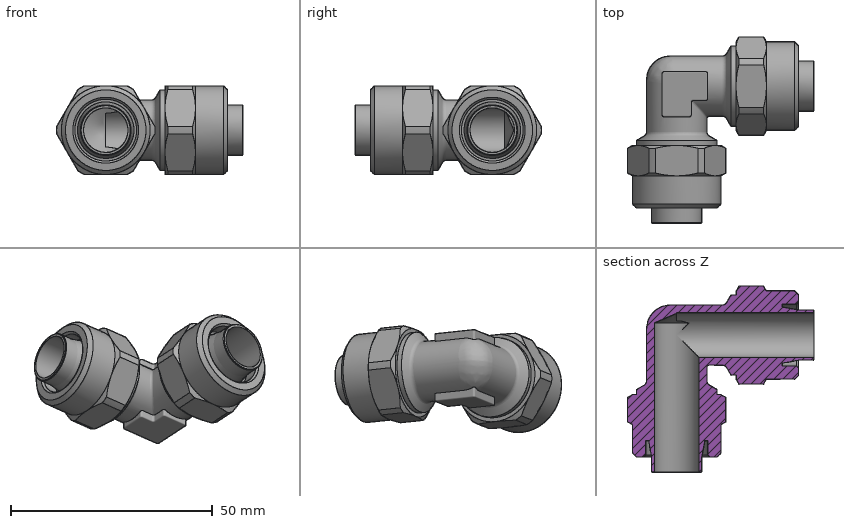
import cadquery as cq
import math


tube_radius = 15.0 / 2
outer_bend_radius = 6.0
inner_bend_radius = 0.5
bore_radius = 11.0 / 2
drill_overrun = 3.0
drill_tip = 5.35

collar_start = 13.45
nut_start = 14.7
nut_end = 22.2
sleeve_end = 30.2
pipe_end = 34.0

collar_radius = 20.0 / 2
collar_flare_angle = math.radians(60)
collar_root_fillet = 1.0

across_flats = 22.0
nut_corner_radius = 12.2
nut_chamfer_angle = math.radians(30)
sleeve_radius = across_flats / 2
sleeve_chamfer = 1.0

recess_radius = 15.3 / 2
mouth_chamfer = 0.5
recess_depth = 4.0

pipe_radius = 12.5 / 2
pipe_chamfer = 0.2
ferrule_radius = 14.0 / 2

pad_half_width = 3.6
pad_reach = 7.6
pad_height = 8.6
pad_corner_rounding = 0.5
pad_rim_rounding = 0.3

pad_seat_height = 6.95


def aim_along_minus_y(arm):
    return arm.rotate((0, 0, 0), (0, 0, 1), -90)


def revolve_about_x(outline):
    return outline.close().revolve(360, (0, 0, 0), (1, 0, 0))


def make_elbow():
    """Two tubes mitred at 45 degrees, rounded along the outer and inner mitre edges."""
    span = collar_start + tube_radius
    x_tube = cq.Workplane("YZ", origin=(-tube_radius, 0, 0)).circle(tube_radius).extrude(span)
    y_tube = aim_along_minus_y(x_tube)
    x_side = cq.Workplane("XY").polyline([(-span, span), (span, span), (span, -span)]).close()
    y_side = cq.Workplane("XY").polyline([(-span, span), (-span, -span), (span, -span)]).close()
    x_tube = x_tube.intersect(x_side.extrude(span, both=True))
    y_tube = y_tube.intersect(y_side.extrude(span, both=True))
    seat_slab = cq.Workplane("XY").box(2 * span, 2 * span, 2 * pad_seat_height)
    elbow = x_tube.union(y_tube).intersect(seat_slab)
    elbow = elbow.edges("%ELLIPSE").edges("<X").fillet(outer_bend_radius)
    inner_corner = cq.selectors.NearestToPointSelector((tube_radius, -tube_radius, 0))
    return elbow.edges("%ELLIPSE").edges(inner_corner).fillet(inner_bend_radius)


def make_pads():
    """An L-shaped block through the elbow; its two ends form the pads."""
    outline = [
        (-pad_half_width, pad_half_width),
        (pad_reach, pad_half_width),
        (pad_reach, -pad_half_width),
        (pad_half_width, -pad_half_width),
        (pad_half_width, -pad_reach),
        (-pad_half_width, -pad_reach),
    ]
    block = cq.Workplane("XY").polyline(outline).close().extrude(pad_height, both=True)
    return block.edges("|Z").fillet(pad_corner_rounding).faces("|Z").edges().fillet(pad_rim_rounding)


def make_collar():
    flare_start = collar_start - (collar_radius - tube_radius) / math.tan(collar_flare_angle)
    outline = (
        cq.Workplane("XY")
        .moveTo(tube_radius, 0)
        .lineTo(tube_radius, tube_radius)
        .lineTo(flare_start, tube_radius)
        .lineTo(collar_start, collar_radius)
        .lineTo(nut_end, collar_radius)
        .lineTo(nut_end, 0)
    )
    root = cq.selectors.NearestToPointSelector((flare_start, tube_radius, 0))
    return revolve_about_x(outline).edges("%CIRCLE").edges(root).fillet(collar_root_fillet)


def make_nut():
    """Hexagon with flats facing up and down, its corners rounded off and both ends coned."""
    corner_to_corner = across_flats / math.cos(math.radians(30))
    hexagon = cq.Workplane("YZ", origin=(nut_start, 0, 0)).polygon(6, corner_to_corner)
    prism = hexagon.extrude(nut_end - nut_start)
    end_radius = across_flats / 2
    cone_length = (nut_corner_radius - end_radius) * math.tan(nut_chamfer_angle)
    turned = (
        cq.Workplane("XY")
        .moveTo(nut_start, 0)
        .lineTo(nut_start, end_radius)
        .lineTo(nut_start + cone_length, nut_corner_radius)
        .lineTo(nut_end - cone_length, nut_corner_radius)
        .lineTo(nut_end, end_radius)
        .lineTo(nut_end, 0)
    )
    return prism.intersect(revolve_about_x(turned))


def make_sleeve_and_pipe():
    recess_floor = sleeve_end - recess_depth
    outline = (
        cq.Workplane("XY")
        .moveTo(nut_end, 0)
        .lineTo(nut_end, sleeve_radius)
        .lineTo(sleeve_end - sleeve_chamfer, sleeve_radius)
        .lineTo(sleeve_end, sleeve_radius - sleeve_chamfer)
        .lineTo(sleeve_end, recess_radius + mouth_chamfer)
        .lineTo(sleeve_end - mouth_chamfer, recess_radius)
        .lineTo(recess_floor, recess_radius)
        .lineTo(recess_floor, ferrule_radius)
        .lineTo(sleeve_end, pipe_radius)
        .lineTo(pipe_end - pipe_chamfer, pipe_radius)
        .lineTo(pipe_end, pipe_radius - pipe_chamfer)
        .lineTo(pipe_end, 0)
    )
    return revolve_about_x(outline)


def make_x_bore():
    return cq.Workplane("YZ").circle(bore_radius).extrude(pipe_end)


def make_drilled_bore():
    """Bore running past the elbow centre and ending in a drill point on the far wall of the other bore."""
    outline = (
        cq.Workplane("XY")
        .moveTo(pipe_end, 0)
        .lineTo(pipe_end, bore_radius)
        .lineTo(-drill_overrun, bore_radius)
        .lineTo(-drill_tip, 0)
    )
    return revolve_about_x(outline)


arm = make_collar().union(make_nut()).union(make_sleeve_and_pipe())
body = make_elbow().union(make_pads()).union(arm).union(aim_along_minus_y(arm))
result = body.cut(make_x_bore()).cut(aim_along_minus_y(make_drilled_bore()))